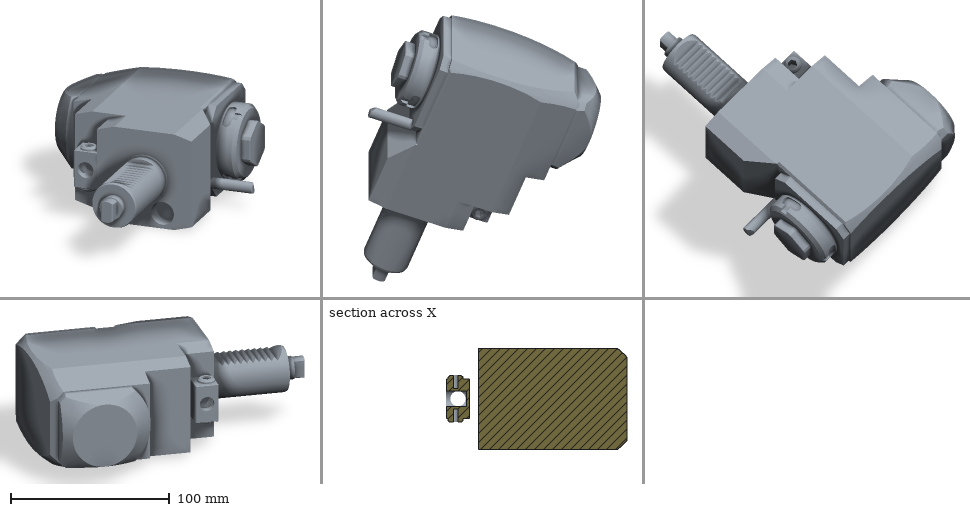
import cadquery as cq
import math


half_height = 32.0
top_flat_left = -43.1
head_left = -67.0
head_left_half_height = 25.3
head_right = 19.5
head_front = 51.1
head_back = 115.2
shoulder_left = -54.6
shoulder_front = 21.3
foot_half_width = 31.8
foot_flat_half_width = 20.2
foot_side_half_height = 28.8
foot_slope_start = 33.5
back_corner_chamfer = 3.8
right_edge_chamfer = 1.6

spindle_y = 85.0
rounding_peak_radius = 42.5
rounding_end_radius = 33.9
rounding_peak_x = (top_flat_left + head_right) / 2

cap_left = -84.5
cap_cone_end = -72.6
cap_flat_end = -69.2
cap_radius = 33.0
cap_face_radius = 21.0
cap_half_height = 24.8
cap_back_offset = 26.2

plate_right = 25.0
plate_front = 54.2
plate_back = 114.3
plate_half_height = 30.4
plate_front_chamfer = 8.5
plate_back_chamfer = 6.7
neck_radius = 23.5
nut_left = 26.0
nut_chamfer_start = 35.9
nut_right = 38.2
nut_radius = 24.5
nut_face_radius = 22.0
slot_floor_radius = 23.0
slot_center_x = 29.7
slot_width = 5.6
slot_length = 16.7
slot_angles = (90, -30, -150)
groove_width = 5.5
hex_right = 44.2
hex_across_flats = 27.0
hex_corner_radius = 15.0
hex_edge_chamfer = 0.4
pin_radius = 3.6
pin_y = 56.2
pin_z = -19.0
pin_left = 24.0
pin_right = 52.5
pin_bevel = 3.0
pin_bevel_tilt = 20
pin_edge_chamfer = 0.4

collar_radius = 15.8
collar_length = 1.1
shank_radius = 15.0
shank_length = 54.2
tip_taper_length = 1.5
tip_taper_depth = 0.5
relief_end = 2.4
relief_depth = 0.4
boss_radius = 7.5
boss_length = 5.1
tang_radius = 7.0
tang_half_width = 4.2
tang_end = 66.8
tang_chamfer = 0.7
tooth_count = 10
tooth_pitch = 4.0
tooth_crest_z = 12.0
tooth_valley_z = 10.0
tooth_flat_start = 6.5
first_valley = 11.3

block_left = -47.7
block_front = 1.1
block_back = 16.0
block_half_height = 12.5
block_edge_chamfer = 0.4
plug_x = -39.9
plug_y = 7.1
plug_radius = 5.5
plug_height = 2.2
plug_chamfer = 1.1
plug_socket_across_flats = 5.3
plug_socket_depth = 8.2
side_port_radius = 4.7
side_port_depth = 13.6
side_port_y = 8.7
side_bore_radius = 1.5
front_port_radius = 5.3
front_port_depth = 12.7

port_x = 12.4
port_z = -21.8
port_radius = 7.6
port_depth = 9.1


def spindle_cylinder(radius, x_start, x_end):
    """Cylinder about the spindle axis between two X positions."""
    return (
        cq.Workplane("YZ", origin=(x_start, spindle_y, 0))
        .circle(radius)
        .extrude(x_end - x_start)
    )


def shank_cylinder(radius, start, end):
    """Cylinder about the shank axis between two distances from the flange."""
    return cq.Workplane("XZ", origin=(0, -start, 0)).circle(radius).extrude(end - start)


def spindle_revolve(profile):
    """Turn a closed XY profile about the spindle axis."""
    return profile.close().revolve(360, (0, spindle_y, 0), (1, spindle_y, 0))


def box_between(x_range, y_range, half_z):
    """Box between X and Y limits, symmetric in Z."""
    width = x_range[1] - x_range[0]
    depth = y_range[1] - y_range[0]
    center = (sum(x_range) / 2, sum(y_range) / 2, 0)
    return cq.Workplane("XY").box(width, depth, 2 * half_z).translate(center)


def tapered_block(outline, section):
    """Plan outline limited to an XZ section given by its upper half points."""
    mirrored = [(x, -z) for x, z in reversed(section)]
    plan = cq.Workplane("XY", origin=(0, 0, -half_height)).polyline(outline).close().extrude(2 * half_height)
    envelope = cq.Workplane("XZ").polyline(section + mirrored).close().extrude(-head_back)
    return plan.intersect(envelope)


def make_housing():
    upper_outline = [
        (head_left, head_front),
        (shoulder_left, head_front),
        (shoulder_left, shoulder_front),
        (head_right, shoulder_front),
        (head_right, head_back),
        (head_left + back_corner_chamfer, head_back),
        (head_left, head_back - back_corner_chamfer),
    ]
    upper_section = [
        (head_left, head_left_half_height),
        (top_flat_left, half_height),
        (head_right, half_height),
    ]
    foot_outline = [
        (-foot_half_width, 0),
        (foot_half_width, 0),
        (foot_half_width, foot_slope_start),
        (head_right, head_front),
        (head_right, shoulder_front),
        (-foot_half_width, shoulder_front),
    ]
    foot_section = [
        (-foot_half_width, foot_side_half_height),
        (-foot_flat_half_width, half_height),
        (foot_flat_half_width, half_height),
        (foot_half_width, foot_side_half_height),
    ]
    upper = tapered_block(upper_outline, upper_section)
    for side in (1, -1):
        edge_bevel = (
            cq.Workplane("XZ", origin=(0, head_front, 0))
            .moveTo(head_right, side * half_height)
            .lineTo(head_right - right_edge_chamfer, side * half_height)
            .lineTo(head_right, side * (half_height - right_edge_chamfer))
            .close()
            .extrude(head_front - head_back)
        )
        upper = upper.cut(edge_bevel)
    foot = tapered_block(foot_outline, foot_section)
    return round_rear_edges(upper).union(foot)


def round_rear_edges(housing):
    arc_right = 2 * rounding_peak_x - head_left
    rounding = spindle_revolve(
        cq.Workplane("XY")
        .moveTo(head_left, spindle_y)
        .lineTo(head_left, spindle_y + rounding_end_radius)
        .threePointArc(
            (rounding_peak_x, spindle_y + rounding_peak_radius),
            (arc_right, spindle_y + rounding_end_radius),
        )
        .lineTo(arc_right, spindle_y)
    )
    x_range = (head_left, head_right)
    front_half = box_between(x_range, (0, spindle_y), half_height)
    return housing.intersect(front_half.union(rounding))


def make_cap():
    turned = spindle_revolve(
        cq.Workplane("XY")
        .moveTo(cap_left, spindle_y)
        .lineTo(cap_left, spindle_y + cap_face_radius)
        .lineTo(cap_cone_end, spindle_y + cap_radius)
        .lineTo(head_left, spindle_y + cap_radius)
        .lineTo(head_left, spindle_y)
    )
    half_section = [
        (cap_left, cap_face_radius),
        (cap_flat_end, cap_half_height),
        (head_left, cap_half_height),
    ]
    mirrored = [(x, -z) for x, z in reversed(half_section)]
    flats = (
        cq.Workplane("XZ", origin=(0, spindle_y + cap_back_offset, 0))
        .polyline(half_section + mirrored)
        .close()
        .extrude(cap_back_offset + cap_radius)
    )
    return turned.intersect(flats)


def make_plate():
    plate = box_between((head_right, plate_right), (plate_front, plate_back), plate_half_height)
    plate = plate.edges("|X and <Y").chamfer(plate_front_chamfer)
    return plate.edges("|X and >Y").chamfer(plate_back_chamfer)


def make_nut():
    nut = spindle_revolve(
        cq.Workplane("XY")
        .moveTo(nut_left, spindle_y)
        .lineTo(nut_left, spindle_y + nut_radius)
        .lineTo(nut_chamfer_start, spindle_y + nut_radius)
        .lineTo(nut_right, spindle_y + nut_face_radius)
        .lineTo(nut_right, spindle_y)
    )
    slot_floor = spindle_cylinder(slot_floor_radius, nut_left, nut_right)
    for angle in slot_angles:
        slot = (
            cq.Workplane("XY", origin=(slot_center_x, spindle_y, 0))
            .slot2D(slot_length, slot_width, 90)
            .extrude(2 * nut_radius)
        )
        groove = (
            cq.Workplane("XY", origin=(slot_center_x, spindle_y, 0))
            .rect(2 * (nut_right - slot_center_x), groove_width)
            .extrude(2 * nut_radius)
            .intersect(box_between((slot_center_x, nut_right), (0, head_back), 2 * nut_radius))
        )
        cutter = slot.union(groove).rotate((0, spindle_y, 0), (1, spindle_y, 0), -angle)
        nut = nut.cut(cutter.cut(slot_floor))
    return nut.union(spindle_cylinder(neck_radius, plate_right, nut_left))


def make_hexagon():
    circumscribed = hex_across_flats / math.cos(math.pi / 6)
    hexagon = (
        cq.Workplane("YZ", origin=(nut_right, spindle_y, 0))
        .transformed(rotate=(0, 0, 90))
        .polygon(6, circumscribed)
        .extrude(hex_right - nut_right)
    )
    hexagon = hexagon.intersect(spindle_cylinder(hex_corner_radius, nut_right, hex_right))
    return hexagon.faces(">X").chamfer(hex_edge_chamfer)


def make_pin():
    pin = (
        cq.Workplane("YZ", origin=(pin_left, pin_y, pin_z))
        .circle(pin_radius)
        .extrude(pin_right - pin_left)
        .faces(">X")
        .chamfer(pin_edge_chamfer)
    )
    pin_back = pin_y + pin_radius
    bevel = (
        cq.Workplane("XY", origin=(0, 0, pin_z - pin_radius))
        .moveTo(pin_right, pin_back)
        .lineTo(pin_right - pin_bevel, pin_back)
        .lineTo(pin_right, pin_back - pin_bevel)
        .close()
        .extrude(2 * pin_radius)
    )
    return pin.cut(bevel.rotate((0, pin_y, pin_z), (1, pin_y, pin_z), pin_bevel_tilt))


def make_shank():
    tip_start = shank_length - tip_taper_length
    turned = (
        cq.Workplane("XY")
        .lineTo(collar_radius, 0)
        .lineTo(collar_radius, -collar_length)
        .lineTo(shank_radius - relief_depth, -collar_length)
        .lineTo(shank_radius - relief_depth, -relief_end)
        .lineTo(shank_radius, -relief_end)
        .lineTo(shank_radius, -tip_start)
        .lineTo(shank_radius - tip_taper_depth, -shank_length)
        .lineTo(0, -shank_length)
        .close()
        .revolve(360, (0, 0, 0), (0, 1, 0))
    )
    shank = turned.cut(tooth_cutter())
    boss_end = shank_length + boss_length
    boss = shank_cylinder(boss_radius, shank_length, boss_end)
    tang_sides = (
        box_between((-tang_half_width, tang_half_width), (-tang_end, -boss_end), tang_radius)
        .faces("<Y")
        .edges("|Z")
        .chamfer(tang_chamfer)
    )
    tang = shank_cylinder(tang_radius, boss_end, tang_end).intersect(tang_sides)
    return shank.union(boss).union(tang)


def tooth_cutter():
    """Sawtooth flat across the top of the shank, with a 45 degree run-out."""
    half_pitch = tooth_pitch / 2
    profile = (
        cq.Workplane("YZ", origin=(-shank_radius, 0, 0))
        .moveTo(-tooth_flat_start, shank_radius)
        .lineTo(-tooth_flat_start, tooth_crest_z)
    )
    for index in range(tooth_count):
        valley = first_valley + index * tooth_pitch
        profile = profile.lineTo(-(valley - half_pitch), tooth_crest_z).lineTo(-valley, tooth_valley_z)
    run_out_end = valley + shank_radius - tooth_valley_z
    return profile.lineTo(-run_out_end, shank_radius).close().extrude(2 * shank_radius)


def make_coolant_block():
    block_right = -foot_half_width
    block = box_between((block_left, block_right), (block_front, block_back), block_half_height)
    block = block.edges("<X or (|X)").chamfer(block_edge_chamfer)
    plug = (
        cq.Workplane("XY", origin=(plug_x, plug_y, block_half_height))
        .circle(plug_radius)
        .extrude(plug_height)
        .faces(">Z")
        .chamfer(plug_chamfer)
    )
    socket = (
        cq.Workplane("XY", origin=(plug_x, plug_y, block_half_height + plug_height))
        .polygon(6, plug_socket_across_flats / math.cos(math.pi / 6))
        .extrude(-plug_socket_depth)
    )
    block = block.union(plug).union(plug.mirror("XY")).cut(socket).cut(socket.mirror("XY"))
    side_port = cq.Workplane("YZ", origin=(block_left, side_port_y, 0))
    front_port = cq.Workplane("XZ", origin=(plug_x, block_front, 0))
    return (
        block.cut(side_port.circle(side_port_radius).extrude(side_port_depth))
        .cut(side_port.circle(side_bore_radius).extrude(block_right - block_left))
        .cut(front_port.circle(front_port_radius).extrude(-front_port_depth))
    )


flange_port = cq.Workplane("XZ", origin=(port_x, 0, port_z)).circle(port_radius).extrude(-port_depth)

result = (
    make_housing()
    .cut(flange_port)
    .union(make_cap())
    .union(make_plate())
    .union(make_nut())
    .union(make_hexagon())
    .union(make_pin())
    .union(make_shank())
    .union(make_coolant_block())
)